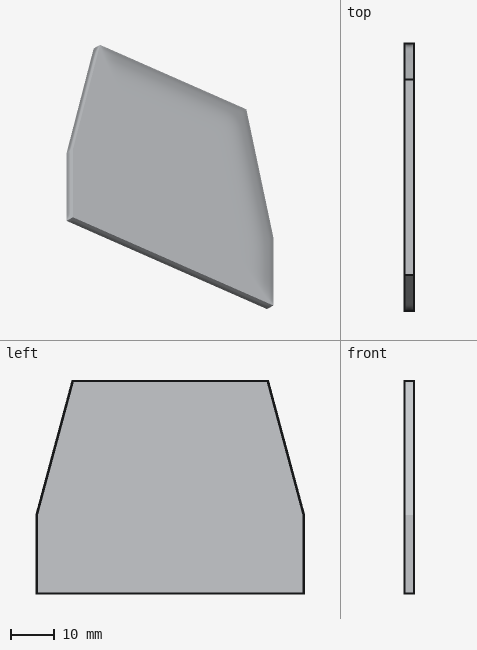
import cadquery as cq

thickness = 2.2
width = 61.0
height = 48.5

side_height = 17.9
top_inset = 8.25

half_width = width / 2
half_top = half_width - top_inset

outline = [
    (-half_width, 0),
    (half_width, 0),
    (half_width, side_height),
    (half_top, height),
    (-half_top, height),
    (-half_width, side_height),
]

result = cq.Workplane("YZ").polyline(outline).close().extrude(thickness / 2, both=True)